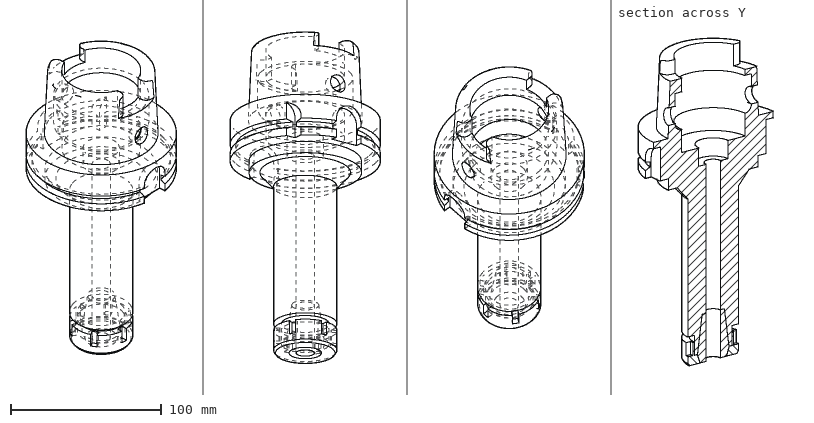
import cadquery as cq
import math

total_height = 215.0
flange_top = 165.0
flange_bottom = 136.0
collar_bottom = 128.1
shank_top = 118.2
shank_bottom = 20.6
nut_top = 16.1
collet_shoulder = 6.5

flange_radius = 100.0 / 2
taper_base_radius = 37.8
taper_top_radius = 35.7
taper_rim_fillet = 1.7
collar_radius = 37.5
cone_top_radius = 30.0
shank_radius = 21.0
neck_radius = 16.0

groove_radius = 46.2
groove_floor_bottom = 143.5
groove_floor_top = 146.8
groove_lower_flank_height = 1.7
groove_upper_flank_height = 1.0

mouth_radius = 26.2
mouth_bottom = 195.2
undercut_radius = 31.5
undercut_fillet = undercut_radius - mouth_radius
undercut_bottom = 168.8
well_floor = 152.6
socket_radius = 12.0
socket_depth = 13.0
bore_radius = 6.0

drive_slot_width = 19.8
drive_slot_corner = 4.7
drive_flat = 32.0
drive_slot_depths = {-1: 9.9, 1: 15.3}

cross_hole_radius = 6.0
cross_hole_height = 180.2

notch_width = 20.0
notch_center_height = 150.0
keyway_floor = 44.0
index_notch_y = 41.7
index_notch_floor = 31.8

nut_radius = shank_radius
nut_chamfer_width = 1.3
nut_chamfer_height = 2.0
nut_slot_count = 6
nut_slot_width = 4.3
nut_slot_floor_radius = 17.2
nut_slot_bottom = 6.9

collet_radius = 13.0
collet_face_radius = 10.8
collet_top = 34.0
collet_slope = 8
collet_top_radius = collet_radius - (collet_top - collet_shoulder) * math.tan(math.radians(collet_slope))


def revolve_profile(points):
    """Full turn about the Z axis of a closed (radius, height) outline."""
    return cq.Workplane("XZ").polyline(points).close().revolve(360, (0, 0, 0), (0, 1, 0))


def make_holder_blank():
    outside = revolve_profile([
        (0, total_height),
        (taper_top_radius, total_height),
        (taper_base_radius, flange_top),
        (flange_radius, flange_top),
        (flange_radius, groove_floor_top + groove_upper_flank_height),
        (groove_radius, groove_floor_top),
        (groove_radius, groove_floor_bottom),
        (flange_radius, groove_floor_bottom - groove_lower_flank_height),
        (flange_radius, flange_bottom),
        (collar_radius, flange_bottom),
        (collar_radius, collar_bottom),
        (cone_top_radius, collar_bottom),
        (shank_radius, shank_top),
        (shank_radius, shank_bottom),
        (neck_radius, shank_bottom),
        (neck_radius, collet_shoulder),
        (0, collet_shoulder),
    ])
    return outside.faces(">Z").edges().fillet(taper_rim_fillet)


def make_taper_cavity():
    mouth_and_well = (
        cq.Workplane("XY", origin=(0, 0, well_floor))
        .circle(mouth_radius)
        .extrude(total_height - well_floor)
    )
    undercut = (
        cq.Workplane("XY", origin=(0, 0, undercut_bottom))
        .circle(undercut_radius)
        .extrude(mouth_bottom - undercut_bottom)
        .faces("<Z")
        .edges()
        .fillet(undercut_fillet)
    )
    return mouth_and_well.union(undercut)


def make_center_bore():
    """Socket below the well, through bore and tapered collet seat."""
    return revolve_profile([
        (0, well_floor),
        (socket_radius, well_floor),
        (socket_radius, well_floor - socket_depth),
        (bore_radius, well_floor - socket_depth),
        (bore_radius, collet_top),
        (collet_top_radius, collet_top),
        (collet_radius, collet_shoulder),
        (0, collet_shoulder),
    ])


def make_drive_slot(side, depth):
    """Slot through the rim that rounds outward into a flat; side is -1 or +1 along X."""
    half_width = drive_slot_width / 2
    round_start = drive_flat - drive_slot_corner
    round_end = half_width + drive_slot_corner
    round_middle = drive_slot_corner * math.sqrt(0.5)
    outline = (
        cq.Workplane("XY", origin=(0, 0, total_height - depth))
        .moveTo(0, -half_width)
        .lineTo(side * round_start, -half_width)
        .threePointArc(
            (side * (round_start + round_middle), -round_end + round_middle),
            (side * drive_flat, -round_end),
        )
        .lineTo(side * drive_flat, -flange_radius)
        .lineTo(side * flange_radius, -flange_radius)
        .lineTo(side * flange_radius, flange_radius)
        .lineTo(side * drive_flat, flange_radius)
        .lineTo(side * drive_flat, round_end)
        .threePointArc(
            (side * (round_start + round_middle), round_end - round_middle),
            (side * round_start, half_width),
        )
        .lineTo(0, half_width)
        .close()
    )
    return outline.extrude(depth)


def make_cross_hole():
    return (
        cq.Workplane("YZ")
        .center(0, cross_hole_height)
        .circle(cross_hole_radius)
        .extrude(flange_radius, both=True)
    )


def make_flange_notch(side, floor, y_center):
    """Notch open at the flange bottom and rim, cut along X from its floor outward."""
    half_width = notch_width / 2
    return (
        cq.Workplane("YZ", origin=(side * floor, y_center, 0))
        .moveTo(-half_width, flange_bottom)
        .lineTo(-half_width, notch_center_height)
        .threePointArc((0, notch_center_height + half_width), (half_width, notch_center_height))
        .lineTo(half_width, flange_bottom)
        .close()
        .extrude(side * (flange_radius - floor))
    )


def make_holder():
    holder = make_holder_blank().cut(make_taper_cavity()).cut(make_center_bore())
    for side, depth in drive_slot_depths.items():
        holder = holder.cut(make_drive_slot(side, depth))
        holder = holder.cut(make_flange_notch(side, keyway_floor, 0))
    holder = holder.cut(make_flange_notch(-1, index_notch_floor, index_notch_y))
    return holder.cut(make_cross_hole())


def make_nut():
    nut = revolve_profile([
        (neck_radius, nut_top),
        (nut_radius, nut_top),
        (nut_radius, nut_chamfer_height),
        (nut_radius - nut_chamfer_width, 0),
        (collet_face_radius, 0),
        (collet_radius, collet_shoulder),
        (neck_radius, collet_shoulder),
    ])
    for index in range(nut_slot_count):
        slot = (
            cq.Workplane("XY", origin=(nut_slot_floor_radius, 0, nut_slot_bottom))
            .box(nut_radius, nut_slot_width, nut_top, centered=(False, True, False))
            .rotate((0, 0, 0), (0, 0, 1), index * 360 / nut_slot_count)
        )
        nut = nut.cut(slot)
    return nut


def make_collet():
    return revolve_profile([
        (bore_radius, 0),
        (collet_face_radius, 0),
        (collet_radius, collet_shoulder),
        (collet_top_radius, collet_top),
        (bore_radius, collet_top),
    ])


holder = make_holder()
nut = make_nut()
collet = make_collet()

result = cq.Compound.makeCompound([holder.val(), nut.val(), collet.val()])